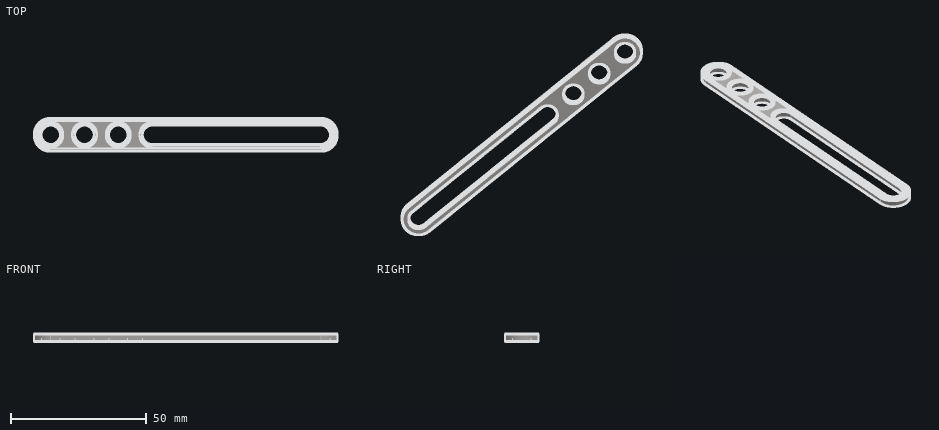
import cadquery as cq

length = 112.5
pitch_count = 9
round_hole_count = 3
hole_diameter = 7.0
rim_diameter = 9.2
border_width = 1.1
recess_depth = 0.2
edge_chamfer = 0.3

pitch = length / pitch_count
width = pitch
thickness = pitch / 4
hole_positions = [pitch * (i + 0.5) for i in range(round_hole_count)]
last_position = length - pitch / 2
slot_start = hole_positions[-1] + pitch


def rounded_bar(start_x, end_x, diameter, bottom, height):
    """Bar along X whose round ends are centred at start_x and end_x."""
    return (
        cq.Workplane("XY", origin=((start_x + end_x) / 2, 0, bottom))
        .slot2D(end_x - start_x + diameter, diameter)
        .extrude(height)
    )


def openings(diameter, bottom, height):
    """Three round posts and one long bar, shaped like the openings in the beam."""
    posts = (
        cq.Workplane("XY", origin=(0, 0, bottom))
        .pushPoints([(x, 0) for x in hole_positions])
        .circle(diameter / 2)
        .extrude(height)
    )
    return posts.add(rounded_bar(slot_start, last_position, diameter, bottom, height)).combine()


def beam():
    """Flat beam with its openings, chamfered along every top and bottom edge."""
    blank = rounded_bar(hole_positions[0], last_position, width, 0, thickness)
    pierced = blank.cut(openings(hole_diameter, 0, thickness))
    return pierced.faces("<Z or >Z").chamfer(edge_chamfer)


def top_recess():
    """Shallow pocket in the top face that leaves the border and the rims standing."""
    floor = thickness - recess_depth
    pocket = rounded_bar(hole_positions[0], last_position, width - 2 * border_width, floor, recess_depth)
    return pocket.cut(openings(rim_diameter, floor, recess_depth))


result = beam().cut(top_recess())